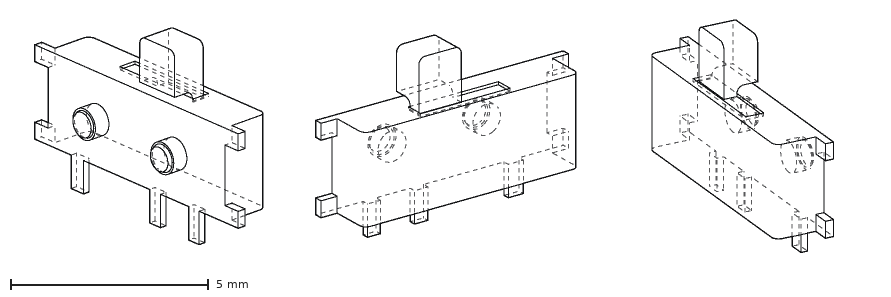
import cadquery as cq

body_width = 6.675
body_depth = 1.405
body_height = 2.6
back_corner_radius = 0.21

tab_span = 7.68
tab_depth = 0.24
tab_height = 0.47

terminals = [(-2.235, 0.47), (0.7, 0.415), (2.165, 0.4)]
terminal_depth = 0.19
terminal_length = 0.92

peg_offset = 1.47
left_peg = dict(diameter=0.85, shoulder=0.46, length=0.53, nose_diameter=0.73, tip_diameter=0.68)
right_peg = dict(diameter=0.87, shoulder=0.445, length=0.55, nose_diameter=0.75, tip_diameter=0.66)

slot_left = -1.36
slot_right = 1.42
slot_front = 0.66
slot_back = 1.175
slot_depth = 0.085

lever_center = 0.715
lever_width = 1.32
lever_height = 1.47
lever_front = 0.06
lever_back = 1.04
lever_corner_radius = 0.2
undercut_radius = 0.2


def block(x_min, x_max, y_min, y_max, z_min, z_max):
    """Box between the given limits."""
    size = (x_max - x_min, y_max - y_min, z_max - z_min)
    return cq.Workplane("XY").box(*size, centered=False).translate((x_min, y_min, z_min))


def make_body():
    """Housing with rounded back corners and the lever slot."""
    body = block(-body_width / 2, body_width / 2, 0, body_depth, 0, body_height)
    body = body.edges("|Z and >Y").fillet(back_corner_radius)
    slot = block(
        slot_left, slot_right, slot_front, slot_back,
        body_height - slot_depth, body_height,
    )
    return body.cut(slot)


def make_tabs(z_min):
    """Pair of tabs at one height, joined through the body."""
    return block(-tab_span / 2, tab_span / 2, 0, tab_depth, z_min, z_min + tab_height)


def make_terminal(center, width):
    """Flat terminal hanging from the bottom face."""
    return block(center - width / 2, center + width / 2, 0, terminal_depth, -terminal_length, 0)


def make_peg(center, diameter, shoulder, length, nose_diameter, tip_diameter):
    """Round peg with a shoulder and a tapered nose, revolved about its own axis."""
    profile = (
        cq.Workplane("XY")
        .lineTo(diameter / 2, 0)
        .lineTo(diameter / 2, -shoulder)
        .lineTo(nose_diameter / 2, -shoulder)
        .lineTo(tip_diameter / 2, -length)
        .lineTo(0, -length)
        .close()
    )
    peg = profile.revolve(360, (0, 0, 0), (0, 1, 0))
    return peg.translate((center, 0, body_height / 2))


def make_lever():
    """Lever with rounded top corners and a concave quarter-round undercut at the front."""
    left = lever_center - lever_width / 2
    right = lever_center + lever_width / 2
    floor = body_height - slot_depth
    overhang = body_height + undercut_radius
    top = body_height + lever_height
    stem = block(left, right, slot_front, lever_back, floor, overhang)
    head = block(left, right, lever_front, lever_back, body_height, top)
    head = head.edges("|Y and >Z").fillet(lever_corner_radius)

    arc_center = slot_front - undercut_radius
    gap = block(left, right, lever_front, arc_center, body_height, overhang)
    arc = (
        cq.Workplane("YZ", origin=(left, 0, 0))
        .center(arc_center, body_height)
        .circle(undercut_radius)
        .extrude(lever_width)
    )
    return head.cut(gap).cut(arc).union(stem)


result = make_body().union(make_lever())
for tab_bottom in (0, body_height - tab_height):
    result = result.union(make_tabs(tab_bottom))
for terminal_center, terminal_width in terminals:
    result = result.union(make_terminal(terminal_center, terminal_width))
result = result.union(make_peg(-peg_offset, **left_peg))
result = result.union(make_peg(peg_offset, **right_peg))